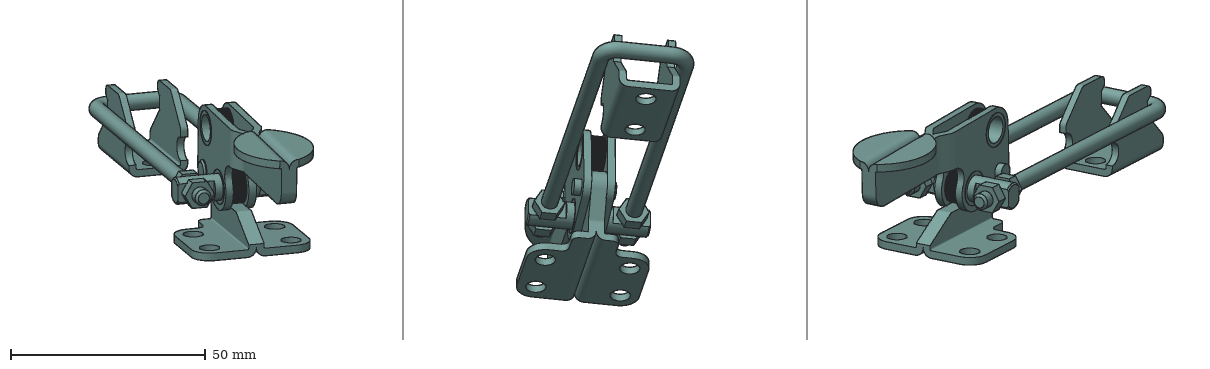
import cadquery as cq
import math


sheet = 2.1
fold_inner = 0.4
fold_outer = fold_inner + sheet
web_half = sheet
lever_half = web_half + sheet
hole_dia = 5.2
big = 130.0

trunnion_x = 85.2
trunnion_z = 14.0
rivet_x = 73.3
rivet_z = 15.3
rod_y = 11.0

rod_dia = 4.3
rod_front_x = 4.8
rod_end_x = 94.0
rod_bend = 4.2
rod_chamfer = 0.6
nut_flats = 6.9
nut_thickness = 3.1

trunnion_dia = 7.0
trunnion_length = 32.0
trunnion_flat_half = 2.5
trunnion_flat_start = 6.1
trunnion_chamfer = 0.4

rivet_dia = 4.3
rivet_head_dia = 5.3
rivet_head_thickness = 0.8
rivet_head_chamfer = 0.5
rivet_tail_y = 6.1

catch_length = 24.7
catch_width = 16.0
catch_height = 20.0
catch_sheet = 2.0
catch_inner_bend = 0.5
catch_outer_bend = catch_inner_bend + catch_sheet
catch_toe_z = 4.5
seat_x = 7.5
seat_low_z = catch_toe_z + seat_x
seat_high_z = 16.0
hook_tip_x = 6.0
hook_tip_low_z = 17.3
hook_round = 1.7
catch_round = 2.0
catch_top_end_x = 16.5
catch_back_z = catch_height - (catch_length - catch_top_end_x)
notch_z = 6.4
notch_radius = 3.1
catch_hole_xs = (5.1, 20.0)

base_start_x = 73.3
base_end_x = 103.5
base_half_width = trunnion_length / 2
base_corner = 5.0
foot_half_width = 6.1
foot_corner = 2.0
foot_length = 7.2
shoulder_x = base_start_x + foot_length
web_lobe = 4.7
web_knee_z = 5.5
web_saddle_x = 79.5
web_saddle_z = 9.4
web_saddle_end_x = 93.3
web_heel_z = 3.4
web_round = 1.3

lever_tilt = 2.2
lever_lobe = 6.1
lever_back_u = -16.6
lever_top_v = 18.5
lever_belly_angle = 12.0
blade_bottom_v = 8.2
blade_end_u = 44.1
blade_corner = 3.9
heel_round = 4.5
throat_radius = 3.6
cheek_shoulder_u = 9.9
cheek_root_u = 13.5
shoulder_bend = 3.9
root_bend = 2.1
closing_angle = math.atan2(sheet, cheek_root_u - cheek_shoulder_u)
slot_shoulder_u = cheek_shoulder_u - sheet * math.tan(closing_angle / 2)
slot_tip_u = slot_shoulder_u + cheek_root_u - cheek_shoulder_u

bush_outer = 4.5
bush_bore = trunnion_dia / 2
bush_recess = 0.1
spare_bush_u = -10.8
spare_bush_v = 12.5
tooth_count = 60
tooth_half_depth = 0.1
tooth_tip = bush_outer + tooth_half_depth
tooth_root = bush_outer - tooth_half_depth
lever_back_corner = spare_bush_u - lever_back_u

thumb_start_u = 18.8
thumb_top_v = 20.9
thumb_half_width = 10.0
thumb_end_half = 2.6


def side_plane(x, z, y):
    """Sketch plane facing -Y, so that its coordinates are X and Z."""
    return cq.Workplane("XZ", origin=(x, y, z))


def cross_bar(x, z, radius, y_start, y_end):
    """Round bar along Y."""
    return side_plane(x, z, y_end).circle(radius).extrude(y_end - y_start)


def through_bar(x, z, radius):
    """Bar along Y that is long enough to cut any body."""
    return cross_bar(x, z, radius, -big / 2, big / 2)


def along_x_bar(y, x_start, x_end):
    """Round bar of the rod diameter along X, at trunnion height."""
    plane = cq.Workplane("YZ", origin=(x_start, y, trunnion_z))
    return plane.circle(rod_dia / 2).extrude(x_end - x_start)


def vertical_hole(x, y):
    return cq.Workplane("XY", origin=(x, y, 0)).circle(hole_dia / 2).extrude(sheet)


def round_edge(body, point, radius):
    """Fillet the edge whose middle lies at the given point."""
    return body.edges(cq.selectors.NearestToPointSelector(point)).fillet(radius)


def fold_groove(x_start, x_end, apex_z, mouth_z):
    """Groove along X between the two outer bends of a pair of sheets folded apart."""
    radius = fold_outer
    depth = math.copysign(radius, mouth_z - apex_z)
    inset = 1 - math.sqrt(0.5)
    return (
        cq.Workplane("YZ", origin=(x_start, 0, 0))
        .moveTo(-radius, mouth_z)
        .threePointArc((-radius * inset, mouth_z - depth * inset), (0, apex_z))
        .threePointArc((radius * inset, mouth_z - depth * inset), (radius, mouth_z))
        .close()
        .extrude(x_end - x_start)
    )


def make_catch():
    half = catch_width / 2
    channel = cq.Workplane("XY").box(
        catch_length, catch_width, catch_height, centered=(False, True, False)
    )
    channel = channel.edges("|X and <Z").fillet(catch_outer_bend)
    inner = (
        cq.Workplane("XY", origin=(0, 0, catch_sheet))
        .box(catch_length, 2 * (half - catch_sheet), catch_height, centered=(False, True, False))
        .edges("|X and <Z")
        .fillet(catch_inner_bend)
    )
    profile = (
        side_plane(0, 0, half)
        .polyline([
            (0, 0),
            (catch_length, 0),
            (catch_length, catch_back_z),
            (catch_top_end_x, catch_height),
            (hook_tip_x, catch_height),
            (hook_tip_x, hook_tip_low_z),
            (seat_x, seat_high_z),
            (seat_x, seat_low_z),
            (0, catch_toe_z),
        ])
        .close()
        .extrude(catch_width)
    )
    profile = round_edge(profile, (hook_tip_x, 0, catch_height), hook_round)
    for x, z in ((0, catch_toe_z), (catch_top_end_x, catch_height), (catch_length, catch_back_z)):
        profile = round_edge(profile, (x, 0, z), catch_round)
    catch = channel.cut(inner).intersect(profile)
    catch = catch.cut(through_bar(catch_length, notch_z, notch_radius))
    for x in catch_hole_xs:
        catch = catch.cut(vertical_hole(x, 0))
    return catch


def make_u_bolt():
    bend_end_x = rod_front_x + rod_bend
    bar_half = rod_y - rod_bend
    bend_mid = rod_bend * math.sqrt(0.5)
    path = (
        cq.Workplane("XY", origin=(0, 0, trunnion_z))
        .moveTo(rod_end_x, -rod_y)
        .lineTo(bend_end_x, -rod_y)
        .threePointArc((bend_end_x - bend_mid, -bar_half - bend_mid), (rod_front_x, -bar_half))
        .lineTo(rod_front_x, bar_half)
        .threePointArc((bend_end_x - bend_mid, bar_half + bend_mid), (bend_end_x, rod_y))
        .lineTo(rod_end_x, rod_y)
    )
    bolt = (
        cq.Workplane("YZ", origin=(rod_end_x, -rod_y, trunnion_z))
        .circle(rod_dia / 2)
        .sweep(path)
        .faces(">X")
        .edges()
        .chamfer(rod_chamfer)
    )
    nut_starts = (
        trunnion_x - trunnion_flat_half - nut_thickness,
        trunnion_x + trunnion_flat_half,
    )
    for y in (-rod_y, rod_y):
        for x in nut_starts:
            bolt = bolt.union(make_nut(x, y))
    return bolt


def make_nut(x, y):
    """Hexagon with flats at top and bottom, to be fused with the rod."""
    across_corners = nut_flats / math.cos(math.radians(30))
    plane = cq.Workplane("YZ", origin=(x, y, trunnion_z))
    return plane.polygon(6, across_corners).extrude(nut_thickness)


def make_trunnion():
    half = trunnion_length / 2
    trunnion = cross_bar(trunnion_x, trunnion_z, trunnion_dia / 2, -half, half)
    trunnion = trunnion.faces("<Y or >Y").edges().chamfer(trunnion_chamfer)
    flat_length = half - trunnion_flat_start
    flat_mid = (half + trunnion_flat_start) / 2
    for y_side in (-1, 1):
        for x_side in (-1, 1):
            x = trunnion_x + x_side * (trunnion_flat_half + trunnion_dia / 2)
            block = cq.Workplane("XY", origin=(x, y_side * flat_mid, trunnion_z)).box(
                trunnion_dia, flat_length, 2 * trunnion_dia
            )
            trunnion = trunnion.cut(block)
        trunnion = trunnion.cut(along_x_bar(y_side * rod_y, 0, big))
    return trunnion


def make_rivet():
    shank = cross_bar(rivet_x, rivet_z, rivet_dia / 2, -lever_half, rivet_tail_y)
    head = cross_bar(
        rivet_x, rivet_z, rivet_head_dia / 2, -lever_half - rivet_head_thickness, -lever_half
    )
    head = head.faces("<Y").edges().chamfer(rivet_head_chamfer)
    return shank.union(head)


def make_base_plate():
    foot = cq.Workplane("XY", origin=(base_start_x, 0, 0)).box(
        foot_length + base_corner, 2 * foot_half_width, sheet, centered=(False, True, False)
    )
    foot = foot.edges("|Z and <X").fillet(foot_corner)
    pad = cq.Workplane("XY", origin=(shoulder_x, 0, 0)).box(
        base_end_x - shoulder_x, 2 * base_half_width, sheet, centered=(False, True, False)
    )
    pad = pad.edges("|Z").fillet(base_corner)
    plate = foot.union(pad)
    for y in (-foot_half_width, foot_half_width):
        plate = round_edge(plate, (shoulder_x, y, sheet / 2), foot_corner)
    for x in (shoulder_x + base_corner, base_end_x - base_corner):
        for y in (-rod_y, rod_y):
            plate = plate.cut(vertical_hole(x, y))
    return plate


def make_base_web():
    knee_distance = math.hypot(rivet_x - base_start_x, rivet_z - web_knee_z)
    touch_angle = (
        math.atan2(web_knee_z - rivet_z, base_start_x - rivet_x) - math.acos(web_lobe / knee_distance)
    )
    front_x = rivet_x + web_lobe * math.cos(touch_angle)
    front_z = rivet_z + web_lobe * math.sin(touch_angle)
    web = (
        side_plane(0, 0, web_half)
        .moveTo(base_start_x, 0)
        .lineTo(base_start_x, web_knee_z)
        .lineTo(front_x, front_z)
        .threePointArc((rivet_x, rivet_z + web_lobe), (rivet_x + web_lobe, rivet_z))
        .lineTo(web_saddle_x, web_saddle_z)
        .lineTo(web_saddle_end_x, web_saddle_z)
        .lineTo(base_end_x, web_heel_z)
        .lineTo(base_end_x, 0)
        .close()
        .extrude(2 * web_half)
    )
    rounded = ((base_start_x, web_knee_z), (web_saddle_end_x, web_saddle_z))
    for x, z in rounded:
        web = round_edge(web, (x, 0, z), web_round)
    return web


def make_base():
    base = make_base_plate().union(make_base_web())
    under_bend = cq.selectors.BoxSelector(
        (base_start_x, -web_half - fold_inner, sheet - fold_inner),
        (base_end_x, web_half + fold_inner, sheet + fold_inner),
    )
    base = base.edges("|X").edges(under_bend).fillet(fold_inner)
    base = base.cut(fold_groove(base_start_x, base_end_x, fold_outer, 0))
    return base.cut(through_bar(rivet_x, rivet_z, rivet_dia / 2))


def lever_profile():
    """Side outline of the lever, extruded over its full width."""
    belly = math.radians(lever_belly_angle)
    belly_u = -lever_lobe * math.sin(belly)
    belly_v = -lever_lobe * math.cos(belly)
    heel_v = belly_v + (belly_u - lever_back_u) * math.tan(belly)
    throat_v = blade_bottom_v - throat_radius
    throat_u = math.sqrt((lever_lobe + throat_radius) ** 2 - throat_v ** 2)
    touch = lever_lobe / (lever_lobe + throat_radius)
    throat_angle = (math.pi + math.atan2(throat_v, throat_u) + math.pi / 2) / 2
    profile = (
        side_plane(0, 0, lever_half)
        .moveTo(lever_back_u, heel_v)
        .lineTo(belly_u, belly_v)
        .threePointArc(
            (lever_lobe * math.sqrt(0.5), -lever_lobe * math.sqrt(0.5)),
            (throat_u * touch, throat_v * touch),
        )
        .threePointArc(
            (
                throat_u + throat_radius * math.cos(throat_angle),
                throat_v + throat_radius * math.sin(throat_angle),
            ),
            (throat_u, blade_bottom_v),
        )
        .lineTo(blade_end_u, blade_bottom_v)
        .lineTo(blade_end_u, lever_top_v)
        .lineTo(lever_back_u, lever_top_v)
        .close()
        .extrude(2 * lever_half)
    )
    profile = round_edge(profile, (blade_end_u, 0, blade_bottom_v), blade_corner)
    profile = round_edge(profile, (lever_back_u, 0, lever_top_v), lever_back_corner)
    return round_edge(profile, (lever_back_u, 0, heel_v), heel_round)


def lever_plan():
    """Fork of two sheets that close into a double-thickness blade, extruded upward."""
    floor_v = -2 * lever_lobe
    outline = (
        cq.Workplane("XY", origin=(0, 0, floor_v))
        .polyline([
            (lever_back_u, -lever_half),
            (cheek_shoulder_u, -lever_half),
            (cheek_root_u, -web_half),
            (blade_end_u, -web_half),
            (blade_end_u, web_half),
            (cheek_root_u, web_half),
            (cheek_shoulder_u, lever_half),
            (lever_back_u, lever_half),
        ])
        .close()
        .extrude(big)
    )
    middle_v = floor_v + big / 2
    for side in (-1, 1):
        outline = round_edge(outline, (cheek_shoulder_u, side * lever_half, middle_v), shoulder_bend)
        outline = round_edge(outline, (cheek_root_u, side * web_half, middle_v), root_bend)
    slot = (
        cq.Workplane("XY", origin=(0, 0, floor_v))
        .polyline([
            (lever_back_u, -web_half),
            (slot_shoulder_u, -web_half),
            (slot_tip_u, 0),
            (slot_shoulder_u, web_half),
            (lever_back_u, web_half),
        ])
        .close()
        .extrude(big)
    )
    for y in (-web_half, web_half):
        slot = round_edge(slot, (slot_shoulder_u, y, middle_v), shoulder_bend - sheet)
    return outline.cut(slot)


def add_bushing(lever, u, v):
    """Set a bushing in both cheeks; it is serrated where it bridges the fork."""
    tube_half = lever_half - bush_recess
    step = math.pi / tooth_count
    teeth = [
        (radius * math.cos(index * step), radius * math.sin(index * step))
        for index, radius in enumerate([tooth_tip, tooth_root] * tooth_count)
    ]
    bridge = side_plane(u, v, web_half).polyline(teeth).close().extrude(2 * web_half)
    tube = cross_bar(u, v, bush_outer, -tube_half, tube_half)
    lever = lever.cut(through_bar(u, v, bush_outer))
    lever = lever.union(tube).union(bridge)
    return lever.cut(through_bar(u, v, bush_bore))


def make_thumb_plate():
    """Pointed oval made by folding both blade sheets outward."""
    thumb_bottom_v = thumb_top_v - sheet
    middle_u = (thumb_start_u + blade_end_u) / 2
    oval = (
        cq.Workplane("XY", origin=(0, 0, thumb_bottom_v))
        .moveTo(thumb_start_u, -thumb_end_half)
        .threePointArc((middle_u, -thumb_half_width), (blade_end_u, -thumb_end_half))
        .lineTo(blade_end_u, thumb_end_half)
        .threePointArc((middle_u, thumb_half_width), (thumb_start_u, thumb_end_half))
        .close()
        .extrude(sheet)
    )
    neck = cq.Workplane("XY", origin=(thumb_start_u, 0, blade_bottom_v + blade_corner)).box(
        blade_end_u - thumb_start_u,
        2 * web_half,
        thumb_top_v - blade_bottom_v - blade_corner,
        centered=(False, True, False),
    )
    plate = oval.union(neck)
    under_bend = cq.selectors.BoxSelector(
        (thumb_start_u, -web_half - fold_inner, thumb_bottom_v - fold_inner),
        (blade_end_u, web_half + fold_inner, thumb_bottom_v + fold_inner),
    )
    plate = plate.edges("|X").edges(under_bend).fillet(fold_inner)
    groove = fold_groove(thumb_start_u, blade_end_u, thumb_top_v - fold_outer, thumb_top_v)
    return plate.cut(groove)


def make_lever():
    lever = lever_profile().intersect(lever_plan())
    lever = lever.union(make_thumb_plate())
    for u, v in ((0, 0), (spare_bush_u, spare_bush_v)):
        lever = add_bushing(lever, u, v)
    lever = lever.rotate((0, 0, 0), (0, 1, 0), lever_tilt)
    lever = lever.translate((trunnion_x, 0, trunnion_z))
    return lever.cut(through_bar(rivet_x, rivet_z, rivet_dia / 2))


catch = make_catch()
u_bolt = make_u_bolt()
trunnion = make_trunnion()
rivet = make_rivet()
base = make_base()
lever = make_lever()

result = cq.Compound.makeCompound([
    catch.val(),
    u_bolt.val(),
    trunnion.val(),
    rivet.val(),
    base.val(),
    lever.val(),
])